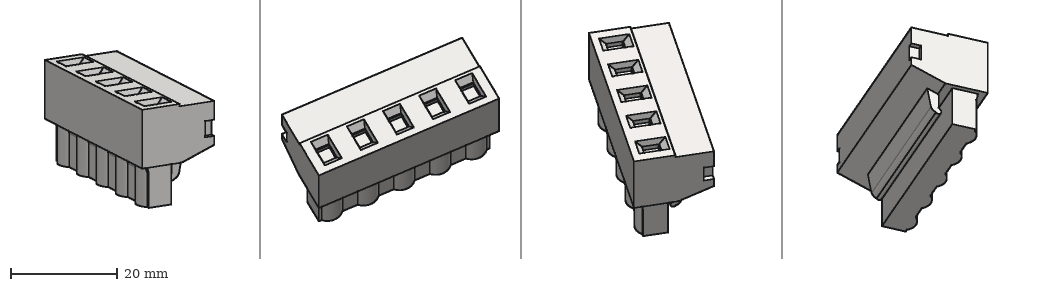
import cadquery as cq
import math

POLES = 5
PITCH = 7.62
LENGTH = POLES * PITCH
DEPTH = 15.5
HEIGHT = 19.85
pole_centres = [(i - (POLES - 1) / 2) * PITCH for i in range(POLES)]

HOUSING_BOTTOM = 8.25
TOP_STEP_DROP = 0.45
TOP_STEP_Y = 8.05
SLOPE_FRONT_Y = 8.6
SLOPE_REAR_Z = 10.75

NOTCH_LENGTH = 1.05
NOTCH_DEPTH = 2.0
NOTCH_BOTTOM = 12.5
NOTCH_HEIGHT = 3.2

PLUG_LENGTH = 36.1
PLUG_FRONT_Y = 2.0
PLUG_REAR_Y = 6.82
PLUG_LEAN = 0.42
PLUG_LEAN_BOTTOM = 6.65
COLUMN_RADIUS = 2.97
COLUMN_FRONT_Y = 1.0

MOUTH_WIDTH = 3.6
MOUTH_FRONT_Y = 1.5
MOUTH_REAR_Y = 7.35
MOUTH_DEPTH = 1.22
THROAT_WIDTH = 2.8
THROAT_FRONT_Y = 2.75
THROAT_REAR_Y = 6.1
WELL_REAR_Y = 5.85
WELL_DEPTH = 2.17

HOOK_LENGTH = LENGTH - PITCH
HOOK_ROOT_REAR_Y = 10.8
HOOK_STEM_FRONT_Y = 8.5
HOOK_BACK_END = (10.05, 5.05)
HOOK_HEEL_MIDDLE = (9.7, 4.45)
HOOK_STEM_END_Z = 5.3
TIP_CENTRE = (8.55, 4.35)
TIP_RADIUS = 0.6
TIP_HEEL_ANGLE = -37
TIP_STEM_ANGLE = -232


def extrude_along_row(profile, length):
    """Extrude a closed YZ profile by the given length, centred on X = 0."""
    return profile.close().extrude(length / 2, both=True)


def box_between(x_centre, width, y_front, y_rear, z_bottom, z_top):
    """Box centred on x_centre along X and spanning the given Y and Z limits."""
    box = cq.Workplane("XY").box(width, y_rear - y_front, z_top - z_bottom, centered=(True, False, False))
    return box.translate((x_centre, y_front, z_bottom))


def make_housing():
    """Housing with a stepped top, a sloped rear underside and two rear corner recesses."""
    rear_top = HEIGHT - TOP_STEP_DROP
    profile = cq.Workplane("YZ").polyline([
        (0, HOUSING_BOTTOM),
        (SLOPE_FRONT_Y, HOUSING_BOTTOM),
        (DEPTH, SLOPE_REAR_Z),
        (DEPTH, rear_top),
        (TOP_STEP_Y, rear_top),
        (TOP_STEP_Y, HEIGHT),
        (0, HEIGHT),
    ])
    housing = extrude_along_row(profile, LENGTH)
    notch_x = (LENGTH - NOTCH_LENGTH) / 2
    for x in (-notch_x, notch_x):
        notch = box_between(
            x, NOTCH_LENGTH, DEPTH - NOTCH_DEPTH, DEPTH, NOTCH_BOTTOM, NOTCH_BOTTOM + NOTCH_HEIGHT
        )
        housing = housing.cut(notch)
    return housing


def make_plug():
    """Block whose front wall leans forward near the housing, with a round column for each pole."""
    profile = cq.Workplane("YZ").polyline([
        (PLUG_FRONT_Y, 0),
        (PLUG_REAR_Y, 0),
        (PLUG_REAR_Y, HOUSING_BOTTOM),
        (PLUG_FRONT_Y - PLUG_LEAN, HOUSING_BOTTOM),
        (PLUG_FRONT_Y, PLUG_LEAN_BOTTOM),
    ])
    plug = extrude_along_row(profile, PLUG_LENGTH)
    columns = (
        cq.Workplane("XY")
        .pushPoints([(x, COLUMN_FRONT_Y + COLUMN_RADIUS) for x in pole_centres])
        .circle(COLUMN_RADIUS)
        .extrude(HOUSING_BOTTOM)
    )
    return plug.union(columns.intersect(box_between(0, PLUG_LENGTH, 0, PLUG_REAR_Y, 0, HOUSING_BOTTOM)))


def tip_point(angle):
    """Point on the rounded hook tip, angle in degrees from the +Y direction towards +Z."""
    turn = math.radians(angle)
    return (TIP_CENTRE[0] + TIP_RADIUS * math.cos(turn), TIP_CENTRE[1] + TIP_RADIUS * math.sin(turn))


def make_hook():
    """Latch hook hanging from the sloped underside, its tip curling towards the plug."""
    slope = (SLOPE_REAR_Z - HOUSING_BOTTOM) / (DEPTH - SLOPE_FRONT_Y)
    root_rear_z = HOUSING_BOTTOM + slope * (HOOK_ROOT_REAR_Y - SLOPE_FRONT_Y)
    profile = (
        cq.Workplane("YZ")
        .moveTo(HOOK_STEM_FRONT_Y, HOUSING_BOTTOM)
        .lineTo(SLOPE_FRONT_Y, HOUSING_BOTTOM)
        .lineTo(HOOK_ROOT_REAR_Y, root_rear_z)
        .lineTo(*HOOK_BACK_END)
        .threePointArc(HOOK_HEEL_MIDDLE, tip_point(TIP_HEEL_ANGLE))
        .threePointArc(tip_point((TIP_HEEL_ANGLE + TIP_STEM_ANGLE) / 2), tip_point(TIP_STEM_ANGLE))
        .lineTo(HOOK_STEM_FRONT_Y, HOOK_STEM_END_Z)
    )
    return extrude_along_row(profile, HOOK_LENGTH)


def make_pocket(x):
    """Cutter for one screw pocket; a narrow ledge remains at the rear of the throat."""
    mouth = (
        cq.Workplane("XY", origin=(x, (MOUTH_FRONT_Y + MOUTH_REAR_Y) / 2, HEIGHT))
        .rect(MOUTH_WIDTH, MOUTH_REAR_Y - MOUTH_FRONT_Y)
        .workplane(offset=-MOUTH_DEPTH)
        .center(0, (THROAT_FRONT_Y + THROAT_REAR_Y - MOUTH_FRONT_Y - MOUTH_REAR_Y) / 2)
        .rect(THROAT_WIDTH, THROAT_REAR_Y - THROAT_FRONT_Y)
        .loft(ruled=True)
    )
    well = box_between(
        x, THROAT_WIDTH, THROAT_FRONT_Y, WELL_REAR_Y, HEIGHT - WELL_DEPTH, HEIGHT - MOUTH_DEPTH
    )
    return mouth.union(well)


result = make_housing().union(make_plug()).union(make_hook())
for pole_x in pole_centres:
    result = result.cut(make_pocket(pole_x))